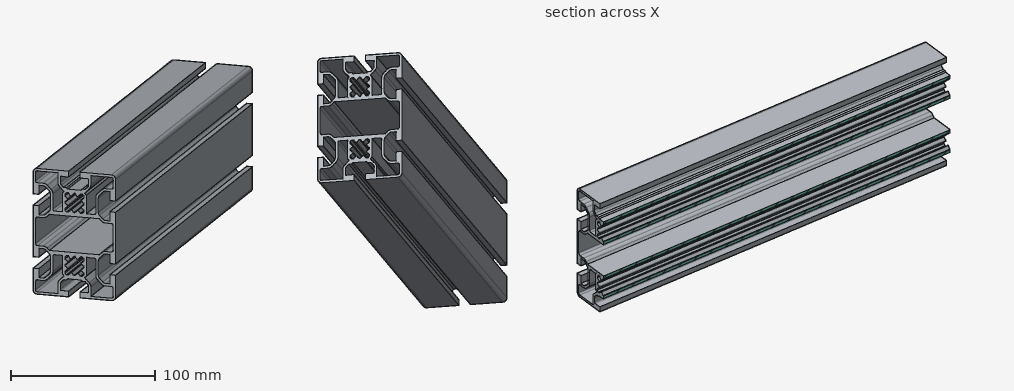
import cadquery as cq
import math

width = 60.0
height = 90.0
length = 300.0
corner_radius = 3.0
half_width = width / 2
half_height = height / 2

outer_wall = 1.8
slot_wall = 1.8
bend_inner_radius = 3.0
bend_outer_radius = 4.2

slot_opening = 8.0
half_opening = slot_opening / 2

side_slot_z = 22.5
side_lip = 4.2
side_slot_depth = 12.5
side_slot_half = 10.5
side_slot_chamfer = 4.2

top_lip = 4.2
top_slot_depth = 12.0
top_slot_half = 10.2
top_slot_chamfer = 2.5
top_slot_fillet = 0.5
top_groove_half = 5.7
top_groove_depth = 1.0

channel_half = 7.0
channel_outer_half = 8.7
channel_corner = 1.2
tooth_offset = 2.5
tooth_half = 2.0
tooth_height = 2.5
tooth_tip_radius = 0.5

web_neck_x = 7.5

chamber_half_height = 13.0
chamber_roof = 2.7
chamber_radius = 1.5

corner_chamber_radius = 1.2

side_floor_x = half_width - side_slot_depth
side_lip_x = half_width - side_lip
side_taper_x = side_floor_x + side_slot_chamfer
inner_x = half_width - outer_wall
inner_z = half_height - outer_wall
chamber_side_half_height = side_slot_z - side_slot_half - slot_wall
top_floor_z = half_height - top_slot_depth
top_lip_z = half_height - top_lip
corner_shift = slot_wall * math.tan(math.radians(22.5))
channel_floor_z = chamber_half_height + chamber_roof


def prism(points):
    """Extrude an X-Z outline over the full length, centred on Y."""
    return cq.Workplane("XZ").polyline(points).close().extrude(length / 2, both=True)


def mirrored_in_x(points):
    """Close a right-hand outline with its own mirror image."""
    return points + [(-x, z) for x, z in reversed(points)]


def round_corners(solid, corners, radius):
    """Fillet the lengthwise edges that stand at the given (x, z) corners."""
    for x, z in corners:
        corner_edge = cq.selectors.NearestToPointSelector((x, 0, z))
        solid = solid.edges(corner_edge).fillet(radius)
    return solid


def side_slot():
    upper_half = [
        (half_width, half_opening),
        (side_lip_x, half_opening),
        (side_lip_x, side_slot_half),
        (side_taper_x, side_slot_half),
        (side_floor_x, side_slot_half - side_slot_chamfer),
    ]
    lower_half = [(x, -z) for x, z in reversed(upper_half)]
    slot = prism(upper_half + lower_half)
    bends = upper_half[-2:] + lower_half[:2]
    return round_corners(slot, bends, bend_inner_radius).translate((0, 0, side_slot_z))


def top_slot():
    lip_corner = (top_slot_half, top_lip_z)
    bend = (top_slot_half, top_floor_z + top_slot_chamfer)
    slot = prism(mirrored_in_x([
        (half_opening, half_height),
        (half_opening, top_lip_z),
        lip_corner,
        bend,
        (top_slot_half - top_slot_chamfer, top_floor_z),
    ]))
    slot = round_corners(slot, mirrored_in_x([lip_corner]), top_slot_fillet)
    slot = round_corners(slot, mirrored_in_x([bend]), bend_inner_radius)
    groove_z = top_floor_z - top_groove_depth
    groove = prism(mirrored_in_x([
        (top_groove_half, top_floor_z),
        (top_groove_half - top_groove_depth, groove_z),
    ]))
    return slot.union(groove)


def corner_chamber():
    """Bent hollow between the top slot, side slot and screw channel."""
    ledge_z = side_slot_z + side_slot_half + slot_wall
    leg_x = side_floor_x - slot_wall
    leg_top_z = side_slot_z + side_slot_half - side_slot_chamfer + corner_shift
    slot_side_x = top_slot_half + slot_wall
    slot_side_z = top_floor_z + top_slot_chamfer - corner_shift
    neck_drop = slot_side_x - web_neck_x
    neck_z = slot_side_z - neck_drop
    outer_corners = [(inner_x, inner_z), (inner_x, ledge_z)]
    side_slot_bends = [(side_taper_x - corner_shift, ledge_z), (leg_x, leg_top_z)]
    top_slot_bend = (slot_side_x, slot_side_z)
    leg_foot = (leg_x, channel_floor_z)
    chamber = prism([
        (slot_side_x, inner_z),
        *outer_corners,
        *side_slot_bends,
        leg_foot,
        (channel_outer_half, channel_floor_z),
        (channel_outer_half, neck_z - (channel_outer_half - web_neck_x)),
        (web_neck_x, neck_z),
        top_slot_bend,
    ])
    chamber = round_corners(chamber, side_slot_bends + [top_slot_bend], bend_outer_radius)
    return round_corners(chamber, outer_corners + [leg_foot], corner_chamber_radius)


def screw_channel():
    """Square channel with two round-tipped teeth on every wall."""
    channel = prism([
        (-channel_half, -channel_half),
        (channel_half, -channel_half),
        (channel_half, channel_half),
        (-channel_half, channel_half),
    ]).edges("|Y").chamfer(channel_corner)
    for offset in (-tooth_offset, tooth_offset):
        tip = (offset, channel_half - tooth_height)
        tooth = prism([
            (offset - tooth_half, channel_half),
            tip,
            (offset + tooth_half, channel_half),
        ])
        tooth = round_corners(tooth, [tip], tooth_tip_radius)
        for quarter_turn in range(4):
            channel = channel.cut(tooth.rotate((0, 0, 0), (0, 1, 0), 90 * quarter_turn))
    return channel.translate((0, 0, side_slot_z))


def central_chamber():
    bend_x = side_taper_x - corner_shift
    roof_half = bend_x - (chamber_half_height - chamber_side_half_height)
    upper_bend = (bend_x, chamber_side_half_height)
    lower_bend = (bend_x, -chamber_side_half_height)
    chamber = prism(mirrored_in_x([
        (roof_half, chamber_half_height),
        upper_bend,
        (inner_x, chamber_side_half_height),
        (inner_x, -chamber_side_half_height),
        lower_bend,
        (roof_half, -chamber_half_height),
    ]))
    chamber = chamber.edges("|Y and (>X or <X)").fillet(chamber_radius)
    return round_corners(chamber, mirrored_in_x([upper_bend, lower_bend]), bend_outer_radius)


result = cq.Workplane("XY").box(width, length, height).edges("|Y").fillet(corner_radius)
result = result.cut(central_chamber())

for centred_cut in (top_slot(), screw_channel()):
    result = result.cut(centred_cut).cut(centred_cut.mirror("XY"))

for quadrant_cut in (side_slot(), corner_chamber()):
    for cut in (quadrant_cut, quadrant_cut.mirror("YZ")):
        result = result.cut(cut).cut(cut.mirror("XY"))